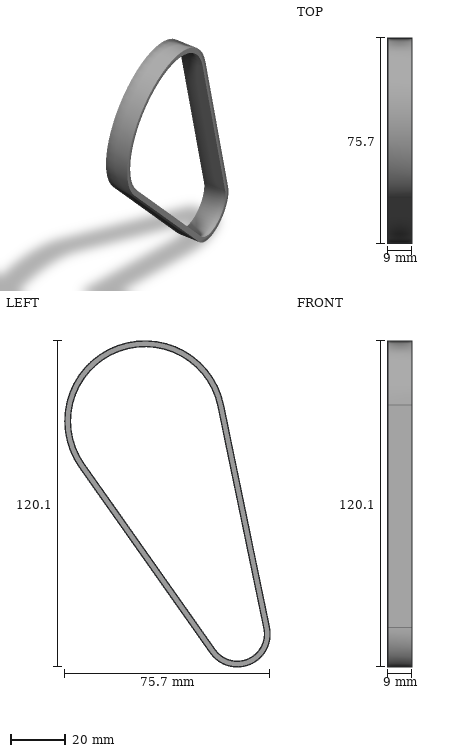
import cadquery as cq
import math

belt_width = 9.0
loop_depth = 75.7
loop_height = 120.1

upper_radius = 29.5
lower_radius = 12.1
thickness = 2.2

upper_center = (loop_depth / 2 - upper_radius, loop_height / 2 - upper_radius)
lower_center = (lower_radius - loop_depth / 2, lower_radius - loop_height / 2)

center_dy = lower_center[0] - upper_center[0]
center_dz = lower_center[1] - upper_center[1]
axis_angle = math.atan2(center_dz, center_dy)
tangent_angle = math.acos((upper_radius - lower_radius) / math.hypot(center_dy, center_dz))


def point_on_circle(center, radius, angle):
    return (center[0] + radius * math.cos(angle), center[1] + radius * math.sin(angle))


def loop_solid(inset):
    """Two arcs joined by tangent lines, offset inward and extruded along X."""
    upper = upper_radius - inset
    lower = lower_radius - inset
    first_side = axis_angle + tangent_angle
    second_side = axis_angle - tangent_angle
    return (
        cq.Workplane("YZ", origin=(-belt_width / 2, 0, 0))
        .moveTo(*point_on_circle(upper_center, upper, first_side))
        .threePointArc(
            point_on_circle(upper_center, upper, axis_angle + math.pi),
            point_on_circle(upper_center, upper, second_side),
        )
        .lineTo(*point_on_circle(lower_center, lower, second_side))
        .threePointArc(
            point_on_circle(lower_center, lower, axis_angle),
            point_on_circle(lower_center, lower, first_side),
        )
        .close()
        .extrude(belt_width)
    )


result = loop_solid(0).cut(loop_solid(thickness))